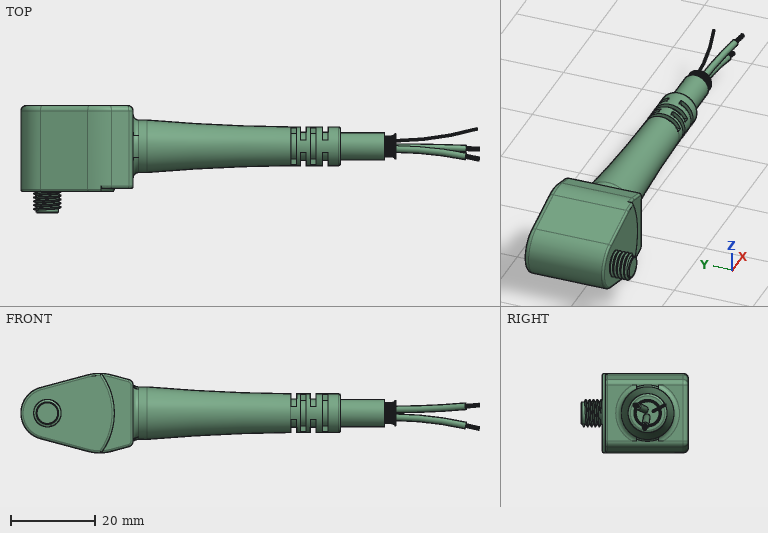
import cadquery as cq
import math


NOSE_RADIUS = 6.3
CROWN_RADIUS = 10.9
HOUSING_HEIGHT = 18.9
FLANK_ANGLE = math.radians(15)
HOUSING_END_X = 20.3
HOUSING_BACK_Y = 9.7
HOUSING_FRONT_Y = -10.7
END_CORNER_RADIUS = 1.4
BACK_FILLET = 1.3
FRONT_FILLET = 0.5
PAD_RADIUS = 15.9
PAD_HEIGHT = 0.8

STUD_LENGTH = 5.0
THREAD_MAJOR_DIAMETER = 6.5
THREAD_MINOR_DIAMETER = 5.3
THREAD_PITCH = 0.91
CREST_WIDTH = 0.1
ROOT_WIDTH = 0.1
THREAD_OVERLAP = 0.05
STUD_TIP_CHAMFER = 0.2

BOOT_DIAMETER = 12.5
BOOT_FLARE_LENGTH = 1.3
BOOT_FLARE_LOW_WIDTH = 5.2
BOOT_FLARE_LOW_RISE = 0.4
BOOT_TAPER_START_X = 23.6
BOOT_MIDDLE_DIAMETER = 10.2
SLEEVE_DIAMETER = 9.2
SLEEVE_START_X = 57.5
SLEEVE_END_X = 69.4
SLEEVE_END_FILLET = 0.5
SLOT_WIDTH = 1.3
SLOT_FLOOR_DIAMETER = 6.7
SLOT_WEB_WIDTH = 3.0
SLOTS_ABOVE_AND_BELOW = (57.7, 62.2)
SLOTS_ON_SIDES = (59.9, 65.1)

CABLE_DIAMETER = 6.5
CABLE_END_X = 79.8
SHIELD_DIAMETER = 4.8
SHIELD_FLARE_X = 81.4
SHIELD_FLARE_RADIUS = 1.1
SHIELD_MOUTH_DIAMETER = 6.0
SHIELD_WIRE_DIAMETER = 0.21
SHIELD_WIRE_COUNT = 56

INSULATION_DIAMETER = 1.6
INSULATION_END_X = 99.0
CONDUCTOR_LENGTH = 3.3
DRAIN_END_X = 101.7
STRAND_DIAMETER = 0.21
STRAND_PITCH = 0.2
UPPER_WIRE = ((SHIELD_FLARE_X, -0.7, 0.9), (INSULATION_END_X, -2.4, 1.6))
LOWER_WIRE = ((SHIELD_FLARE_X, -0.2, -1.0), (INSULATION_END_X, -0.5, -2.9))
DRAIN_WIRE = ((SHIELD_FLARE_X, 1.3, 0.4), (DRAIN_END_X, 4.1, 2.0))
CONDUCTOR_RINGS = 2
DRAIN_RINGS = 1


CROWN_Z = HOUSING_HEIGHT / 2 - CROWN_RADIUS
CROWN_X = (CROWN_RADIUS - NOSE_RADIUS + CROWN_Z * math.cos(FLANK_ANGLE)) / math.sin(FLANK_ANGLE)
CROWN_END_X = CROWN_X + CROWN_RADIUS * math.sin(FLANK_ANGLE)
CROWN_END_Z = CROWN_Z + CROWN_RADIUS * math.cos(FLANK_ANGLE)

END_HALF_HEIGHT = CROWN_END_Z - (HOUSING_END_X - CROWN_END_X) * math.tan(FLANK_ANGLE)
END_FLAT_HALF_HEIGHT = END_HALF_HEIGHT - END_CORNER_RADIUS * math.tan((math.pi / 2 - FLANK_ANGLE) / 2)


def housing_block(front_y):
    """Teardrop prism from the back face to front_y with rounded front and back rims."""
    nose_tangent = (-NOSE_RADIUS * math.sin(FLANK_ANGLE), NOSE_RADIUS * math.cos(FLANK_ANGLE))
    crown_start = (2 * CROWN_X - CROWN_END_X, CROWN_END_Z)
    crown_top = (CROWN_X, HOUSING_HEIGHT / 2)
    crown_end = (CROWN_END_X, CROWN_END_Z)
    end_corner = (HOUSING_END_X, END_HALF_HEIGHT)

    def below(point):
        return (point[0], -point[1])

    block = (
        cq.Workplane("XZ", origin=(0, HOUSING_BACK_Y, 0))
        .moveTo(*nose_tangent)
        .lineTo(*crown_start)
        .threePointArc(crown_top, crown_end)
        .lineTo(*end_corner)
        .lineTo(*below(end_corner))
        .lineTo(*below(crown_end))
        .threePointArc(below(crown_top), below(crown_start))
        .lineTo(*below(nose_tangent))
        .threePointArc((-NOSE_RADIUS, 0), nose_tangent)
        .close()
        .extrude(HOUSING_BACK_Y - front_y)
    )
    block = block.edges("|Y and >X").fillet(END_CORNER_RADIUS)
    block = block.faces(">Y").edges().fillet(BACK_FILLET)
    return block.faces("<Y").edges().fillet(FRONT_FILLET)


def make_housing():
    pad_limit = (
        cq.Workplane("XZ", origin=(0, HOUSING_BACK_Y, 0))
        .circle(PAD_RADIUS)
        .extrude(HOUSING_BACK_Y - HOUSING_FRONT_Y)
        .faces("<Y").edges().fillet(FRONT_FILLET)
    )
    pad = housing_block(HOUSING_FRONT_Y).intersect(pad_limit)
    return housing_block(HOUSING_FRONT_Y + PAD_HEIGHT).union(pad)


def make_stud():
    """Stud with one helical thread, built along +Z and then turned to -Y."""
    major = THREAD_MAJOR_DIAMETER / 2
    minor = THREAD_MINOR_DIAMETER / 2
    sunk_length = THREAD_PITCH
    core = (
        cq.Workplane("XY", origin=(0, 0, -sunk_length))
        .circle(minor)
        .extrude(sunk_length + STUD_LENGTH)
        .faces(">Z").chamfer(STUD_TIP_CHAMFER)
    )
    half_base = (THREAD_PITCH - ROOT_WIDTH) / 2
    half_crest = CREST_WIDTH / 2
    thread_length = STUD_LENGTH - STUD_TIP_CHAMFER - half_base
    helix = cq.Wire.makeHelix(THREAD_PITCH, thread_length, minor)
    ridge = (
        cq.Workplane("XZ")
        .polyline([
            (minor - THREAD_OVERLAP, -half_base),
            (major, -half_crest),
            (major, half_crest),
            (minor - THREAD_OVERLAP, half_base),
        ])
        .close()
        .sweep(cq.Workplane(obj=helix), isFrenet=True)
    )
    stud = core.union(ridge)
    return stud.rotate((0, 0, 0), (1, 0, 0), 90).translate((0, HOUSING_FRONT_Y, 0))


def boot_flare(rise):
    """Ring that meets the boot smoothly and grows in radius by rise at the housing."""
    boot = BOOT_DIAMETER / 2
    flare_end_x = HOUSING_END_X + BOOT_FLARE_LENGTH
    return (
        cq.Workplane("XY")
        .moveTo(BOOT_TAPER_START_X, 0)
        .lineTo(BOOT_TAPER_START_X, boot)
        .lineTo(flare_end_x, boot)
        .tangentArcPoint((HOUSING_END_X, boot + rise), relative=False)
        .lineTo(HOUSING_END_X, 0)
        .close()
        .revolve(360, (0, 0, 0), (1, 0, 0))
    )


def make_boot():
    """Boot with a flare at the housing, a concave taper and a plain sleeve."""
    boot = BOOT_DIAMETER / 2
    sleeve = SLEEVE_DIAMETER / 2
    taper_middle = ((BOOT_TAPER_START_X + SLEEVE_START_X) / 2, BOOT_MIDDLE_DIAMETER / 2)
    body = (
        cq.Workplane("XY")
        .moveTo(HOUSING_END_X, 0)
        .lineTo(HOUSING_END_X, boot)
        .lineTo(BOOT_TAPER_START_X, boot)
        .threePointArc(taper_middle, (SLEEVE_START_X, sleeve))
        .lineTo(SLEEVE_END_X, sleeve)
        .lineTo(SLEEVE_END_X, 0)
        .close()
        .revolve(360, (0, 0, 0), (1, 0, 0))
        .faces(">X").edges().fillet(SLEEVE_END_FILLET)
    )
    flare_span = 2 * (boot + BOOT_FLARE_LENGTH)
    flare_center = cq.Workplane("XY", origin=(HOUSING_END_X, 0, 0))
    flare_limit = flare_center.box(flare_span, flare_span, 2 * END_FLAT_HALF_HEIGHT)
    low_zone = flare_center.box(flare_span, BOOT_FLARE_LOW_WIDTH, flare_span)
    full_flare = boot_flare(BOOT_FLARE_LENGTH).intersect(flare_limit).cut(low_zone)
    low_flare = boot_flare(BOOT_FLARE_LOW_RISE)
    return body.union(full_flare).union(low_flare)


def slot_cutter(start_x, web_along_y):
    """Ring around the cable, interrupted by one flat web that runs along Y or along Z."""
    ring = (
        cq.Workplane("YZ", origin=(start_x, 0, 0))
        .circle(SLEEVE_DIAMETER)
        .circle(SLOT_FLOOR_DIAMETER / 2)
        .extrude(SLOT_WIDTH)
    )
    web_length = 3 * SLEEVE_DIAMETER
    web_size = (web_length, SLOT_WEB_WIDTH) if web_along_y else (SLOT_WEB_WIDTH, web_length)
    web = cq.Workplane("YZ", origin=(start_x, 0, 0)).rect(*web_size).extrude(SLOT_WIDTH)
    return ring.cut(web)


def cut_slots(boot):
    for start_x in SLOTS_ABOVE_AND_BELOW:
        boot = boot.cut(slot_cutter(start_x, web_along_y=True))
    for start_x in SLOTS_ON_SIDES:
        boot = boot.cut(slot_cutter(start_x, web_along_y=False))
    return boot


def make_cable():
    return (
        cq.Workplane("YZ", origin=(SLEEVE_END_X, 0, 0))
        .circle(CABLE_DIAMETER / 2)
        .extrude(CABLE_END_X - SLEEVE_END_X)
    )


def make_shield():
    """Trumpet-shaped shield core with fine wires half sunk along its surface."""
    start = (CABLE_END_X, SHIELD_DIAMETER / 2)
    flare_start = (SHIELD_FLARE_X, SHIELD_DIAMETER / 2)
    flare_rise = (SHIELD_MOUTH_DIAMETER - SHIELD_DIAMETER) / 2
    flare_run = math.sqrt(SHIELD_FLARE_RADIUS**2 - (SHIELD_FLARE_RADIUS - flare_rise) ** 2)
    flare_end = (SHIELD_FLARE_X + flare_run, SHIELD_MOUTH_DIAMETER / 2)
    core = (
        cq.Workplane("XY")
        .moveTo(CABLE_END_X, 0)
        .lineTo(*start)
        .lineTo(*flare_start)
        .radiusArc(flare_end, -SHIELD_FLARE_RADIUS)
        .lineTo(flare_end[0], 0)
        .close()
        .revolve(360, (0, 0, 0), (1, 0, 0))
    )
    path = (
        cq.Workplane("XY")
        .moveTo(*start)
        .lineTo(*flare_start)
        .radiusArc(flare_end, -SHIELD_FLARE_RADIUS)
    )
    wire = (
        cq.Workplane("YZ", origin=(*start, 0))
        .circle(SHIELD_WIRE_DIAMETER / 2)
        .sweep(path)
        .val()
    )
    step = 360 / SHIELD_WIRE_COUNT
    wires = [wire.rotate((0, 0, 0), (1, 0, 0), i * step) for i in range(SHIELD_WIRE_COUNT)]
    return cq.Workplane(obj=core.val().fuse(*wires))


def wire_path(ends):
    """Arc that leaves the shield along +X and bends to the end point of the wire."""
    start, end = ends
    return cq.Edge.makeTangentArc(cq.Vector(*start), cq.Vector(1, 0, 0), cq.Vector(*end))


def start_plane(path):
    return cq.Plane(origin=path.startPoint(), xDir=(0, 1, 0), normal=(1, 0, 0))


def strand_section(plane, rings):
    """Sketch of overlapping strands: one in the centre and hexagonal rings around it."""
    strands = []
    for row in range(-rings, rings + 1):
        for column in range(-rings, rings + 1):
            if abs(row + column) <= rings:
                offset_y = (column + row / 2) * STRAND_PITCH
                offset_z = row * math.sqrt(3) / 2 * STRAND_PITCH
                strands.append((offset_y, offset_z))
    bundle = cq.Sketch().push(strands).circle(STRAND_DIAMETER / 2).clean()
    return cq.Workplane(plane).placeSketch(bundle)


def make_drain():
    """Bare stranded wire along its whole length."""
    path = wire_path(DRAIN_WIRE)
    section = strand_section(start_plane(path), DRAIN_RINGS)
    return section.sweep(cq.Workplane(obj=path))


def make_insulated_wire(ends):
    """Bent insulated wire with a straight bare end."""
    path = wire_path(ends)
    insulation = (
        cq.Workplane(start_plane(path))
        .circle(INSULATION_DIAMETER / 2)
        .sweep(cq.Workplane(obj=path))
    )
    end_plane = cq.Plane(origin=path.endPoint(), xDir=(0, 1, 0), normal=path.tangentAt(1))
    conductor = strand_section(end_plane, CONDUCTOR_RINGS).extrude(CONDUCTOR_LENGTH)
    return insulation.union(conductor)


result = make_housing()
result = result.union(make_stud())
result = result.union(cut_slots(make_boot()))
result = result.union(make_cable())
result = result.union(make_shield())
result = result.union(make_insulated_wire(UPPER_WIRE))
result = result.union(make_insulated_wire(LOWER_WIRE))
result = result.union(make_drain())